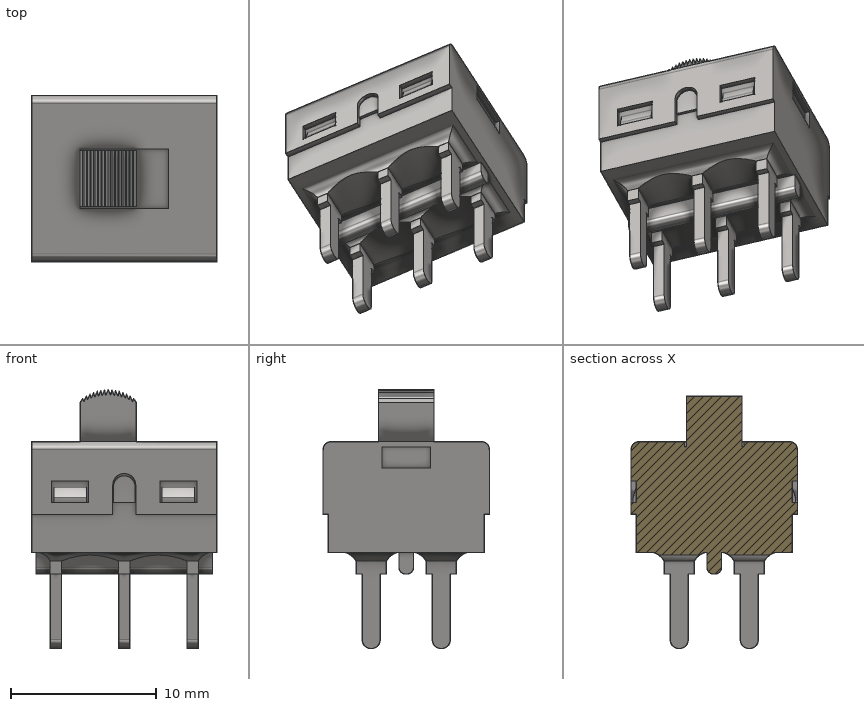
import cadquery as cq
import math


length = 12.7
width = 11.43
housing_height = 7.62
cover_thickness = 0.35
cover_drop = 5.0
cover_edge_radius = 0.56
base_width = width - 2 * cover_thickness
cover_bottom = housing_height - cover_drop

window_spacing = 7.48
window_width = 2.54
window_top = 4.9
window_bottom = 3.44
latch_spacing = 7.43
latch_width = 2.24
latch_top = 4.45
latch_ridge = 3.79
latch_depth = 0.2

notch_width = 1.58
notch_top = 5.42
pad_width = 1.48
pad_top = 5.27
pad_thickness = 0.18

end_recess_width = 3.36
end_recess_bottom = 5.8
end_recess_top = 7.26
end_recess_depth = 0.35

opening_length = 6.06
opening_width = 4.06
opening_depth = cover_thickness
slider_length = 3.86
slider_width = 3.84
slider_height = 3.56
slider_x = (slider_length - opening_length) / 2
slider_shoulder_drop = 0.88

side_teeth = 7
tooth_pitch = 0.25
crest_radius = 2.8
valley_radius = 3.5
valley_drop = 0.37
valley_offset = 0.08

terminal_pitch = 4.69
row_offset = 2.405
terminal_thickness = 0.78
terminal_length = 6.6
terminal_width = 1.25
shoulder_width = 2.08
shoulder_depth = 1.48

seal_radius = 1.2
seal_depth = 0.58
seal_saddle_depth = 0.18
seal_run = 0.75

rib_length = 12.15
rib_width = 1.02
rib_depth = 1.48
rib_edge_radius = 0.47

terminal_columns = [-terminal_pitch, 0, terminal_pitch]
terminal_rows = [-row_offset, row_offset]


def block(size_x, size_y, bottom, top, x=0, y=0):
    """Upright box centred on (x, y) between two heights."""
    return cq.Workplane("XY").box(size_x, size_y, top - bottom, centered=(True, True, False)).translate(
        (x, y, bottom)
    )


def both_long_sides(shape):
    """A shape on the -Y side together with its mirror image on the +Y side."""
    return shape.union(shape.mirror("XZ"))


def arch(arch_width, bottom, top, depth, y):
    """Round-topped plate starting at y and reaching depth towards +Y."""
    radius = arch_width / 2
    return (
        cq.Workplane("XZ", origin=(0, y, 0))
        .moveTo(-radius, bottom)
        .lineTo(radius, bottom)
        .lineTo(radius, top - radius)
        .threePointArc((0, top), (-radius, top - radius))
        .close()
        .extrude(-depth)
    )


def make_cover():
    cover = block(length, width, cover_bottom, housing_height)
    cover = cover.edges("|X and >Z").fillet(cover_edge_radius)
    openings = arch(notch_width, cover_bottom, notch_top, cover_thickness, -width / 2)
    for x in (-window_spacing / 2, window_spacing / 2):
        wall_y = (cover_thickness - width) / 2
        openings = openings.union(block(window_width, cover_thickness, window_bottom, window_top, x, wall_y))
    return cover.cut(both_long_sides(openings))


def make_latches():
    base_y = -base_width / 2
    profile = [
        (base_y, window_bottom),
        (base_y - latch_depth, window_bottom),
        (base_y - latch_depth, latch_ridge),
        (base_y, latch_top),
    ]
    wedge = cq.Workplane("YZ").polyline(profile).close().extrude(latch_width / 2, both=True)
    half_spacing = latch_spacing / 2
    wedges = wedge.translate((-half_spacing, 0, 0)).union(wedge.translate((half_spacing, 0, 0)))
    return both_long_sides(wedges)


def make_pads():
    pad_y = -base_width / 2 - pad_thickness
    return both_long_sides(arch(pad_width, window_bottom, pad_top, pad_thickness, pad_y))


def make_recesses():
    recesses = block(
        opening_length, opening_width, housing_height - opening_depth, housing_height
    )
    for side in (-1, 1):
        x = side * (length - end_recess_depth) / 2
        recesses = recesses.union(
            block(end_recess_depth, end_recess_width, end_recess_bottom, end_recess_top, x)
        )
    return recesses


def arc_drop(radius, x):
    """Drop below the top of an arc at a distance x from its middle."""
    return radius - math.sqrt(radius**2 - x**2)


def make_slider():
    top = housing_height + slider_height
    half_length = slider_length / 2
    right_side = []
    for tooth in range(side_teeth):
        crest_x = (tooth + 1) * tooth_pitch
        valley_x = crest_x - valley_offset
        right_side.append((valley_x, top - valley_drop - arc_drop(valley_radius, valley_x)))
        right_side.append((crest_x, top - arc_drop(crest_radius, crest_x)))
    right_side.append((half_length, top - slider_shoulder_drop))
    right_side.append((half_length, housing_height - opening_depth))
    left_side = [(-x, z) for x, z in reversed(right_side)]
    outline = left_side + [(0, top)] + right_side
    slider = cq.Workplane("XZ").polyline(outline).close().extrude(slider_width / 2, both=True)
    return slider.translate((slider_x, 0, 0))


def make_terminal(x, y):
    """Flat blade with a wide shoulder at the housing and a round tip."""
    half_shoulder = shoulder_width / 2
    tip_radius = terminal_width / 2
    tip_start = tip_radius - terminal_length
    return (
        cq.Workplane("YZ")
        .moveTo(-half_shoulder, 0)
        .lineTo(-half_shoulder, -shoulder_depth)
        .lineTo(-tip_radius, -shoulder_depth)
        .lineTo(-tip_radius, tip_start)
        .threePointArc((0, -terminal_length), (tip_radius, tip_start))
        .lineTo(tip_radius, -shoulder_depth)
        .lineTo(half_shoulder, -shoulder_depth)
        .lineTo(half_shoulder, 0)
        .close()
        .extrude(terminal_thickness / 2, both=True)
        .translate((x, y, 0))
    )


def flare_mid(flat_edge, direction):
    """Middle of the concave flare rising outwards from the edge of the flat (direction is +1 or -1)."""
    chord = math.hypot(seal_run, seal_depth)
    bulge = seal_radius - math.sqrt(seal_radius**2 - (chord / 2) ** 2)
    x = flat_edge + direction * (seal_run / 2 - bulge * seal_depth / chord)
    z = -seal_depth / 2 + bulge * seal_run / chord
    return (x, z)


def make_seal(y):
    """Sealing mound: flat at each terminal, arched in between and flared out on all four sides."""
    half_thickness = terminal_thickness / 2
    row_edge = terminal_columns[-1] + half_thickness
    row_end = row_edge + seal_run
    along = cq.Workplane("XZ").moveTo(-row_end, 0)
    along = along.threePointArc(flare_mid(-row_edge, -1), (-row_edge, -seal_depth))
    for start, end in zip(terminal_columns, terminal_columns[1:]):
        along = along.lineTo(start + half_thickness, -seal_depth)
        along = along.threePointArc(
            ((start + end) / 2, -seal_saddle_depth), (end - half_thickness, -seal_depth)
        )
    along = along.lineTo(row_edge, -seal_depth)
    along = along.threePointArc(flare_mid(row_edge, 1), (row_end, 0)).close()

    half_flat = shoulder_width / 2
    half_width = half_flat + seal_run
    across = (
        cq.Workplane("YZ")
        .moveTo(-half_width, 0)
        .threePointArc(flare_mid(-half_flat, -1), (-half_flat, -seal_depth))
        .lineTo(half_flat, -seal_depth)
        .threePointArc(flare_mid(half_flat, 1), (half_width, 0))
        .close()
        .extrude(row_end, both=True)
    )
    return along.extrude(half_width, both=True).intersect(across).translate((0, y, 0))


def make_rib():
    rib = block(rib_length, rib_width, -rib_depth, 0)
    return rib.edges("|X and <Z").fillet(rib_edge_radius)


result = block(length, base_width, 0, housing_height - cover_edge_radius)
result = result.union(make_cover())
result = result.union(make_latches()).union(make_pads())
result = result.cut(make_recesses())
result = result.union(make_slider()).union(make_rib())
for row_y in terminal_rows:
    result = result.union(make_seal(row_y))
    for column_x in terminal_columns:
        result = result.union(make_terminal(column_x, row_y))